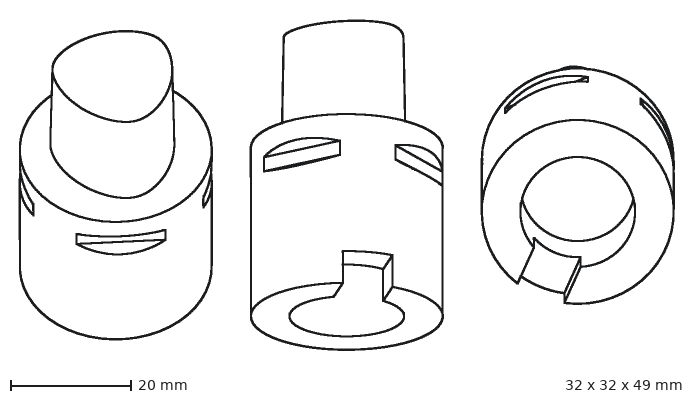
import cadquery as cq
import math

total_height = 49.0
body_diameter = 32.0
body_height = 30.0
shank_height = total_height - body_height

shank_base_radius = 10.35
shank_top_radius = 10.0
lobe_height = 0.7
lobe_count = 3
curve_point_count = 48

groove_count = 4
groove_first_angle = 45.0
groove_center_height = 24.0
groove_floor_width = 2.5
groove_floor_distance = 14.15
groove_side_angle = 30.0

slot_width = 8.5
slot_height = 5.65
bore_diameter = 19.1
bore_depth = body_height / 2


def trilobe_point(mean_radius, angle):
    """Point on the envelope of lines at distance mean_radius + lobe_height * cos(3a).

    The angle is measured from +Y, where one of the lobes points.
    """
    distance = mean_radius + lobe_height * math.cos(lobe_count * angle)
    slope = -lobe_count * lobe_height * math.sin(lobe_count * angle)
    x = distance * math.sin(angle) + slope * math.cos(angle)
    y = distance * math.cos(angle) - slope * math.sin(angle)
    return (x, y)


def trilobe_wire(mean_radius, height):
    """Closed smooth trilobe outline whose seam lies on the -Y side."""
    step = 2 * math.pi / curve_point_count
    points = [trilobe_point(mean_radius, math.pi + i * step) for i in range(curve_point_count)]
    outline = cq.Workplane("XY").workplane(offset=height).spline(points, periodic=True)
    return outline.wire().val()


def make_shank():
    """Tapered trilobe standing on the shoulder of the body."""
    base = trilobe_wire(shank_base_radius, body_height)
    top = trilobe_wire(shank_top_radius, total_height)
    return cq.Solid.makeLoft([base, top], True)


def groove_cutter(angle):
    """Trapezoid prism tangent to the body, widening outward from the groove floor."""
    half_floor = groove_floor_width / 2
    outer_distance = body_diameter / 2
    depth = outer_distance - groove_floor_distance
    half_mouth = half_floor + depth * math.tan(math.radians(groove_side_angle))
    profile = [
        (groove_floor_distance, groove_center_height - half_floor),
        (outer_distance, groove_center_height - half_mouth),
        (outer_distance, groove_center_height + half_mouth),
        (groove_floor_distance, groove_center_height + half_floor),
    ]
    cutter = cq.Workplane("XZ").polyline(profile).close().extrude(body_diameter / 2, both=True)
    return cutter.rotate((0, 0, 0), (0, 0, 1), angle)


def make_body():
    """Round body with a blind bore, a drive slot and grip grooves."""
    body = cq.Workplane("XY").circle(body_diameter / 2).extrude(body_height)

    bore = cq.Workplane("XY").circle(bore_diameter / 2).extrude(bore_depth)
    body = body.cut(bore)

    slot = cq.Workplane("XY").box(
        body_diameter / 2, slot_width, slot_height, centered=(False, True, False)
    )
    body = body.cut(slot.translate((-body_diameter / 2, 0, 0)))

    for i in range(groove_count):
        body = body.cut(groove_cutter(groove_first_angle + i * 360 / groove_count))
    return body.solids()


body = make_body()
shank = make_shank()

result = cq.Compound.makeCompound([body.val(), shank])